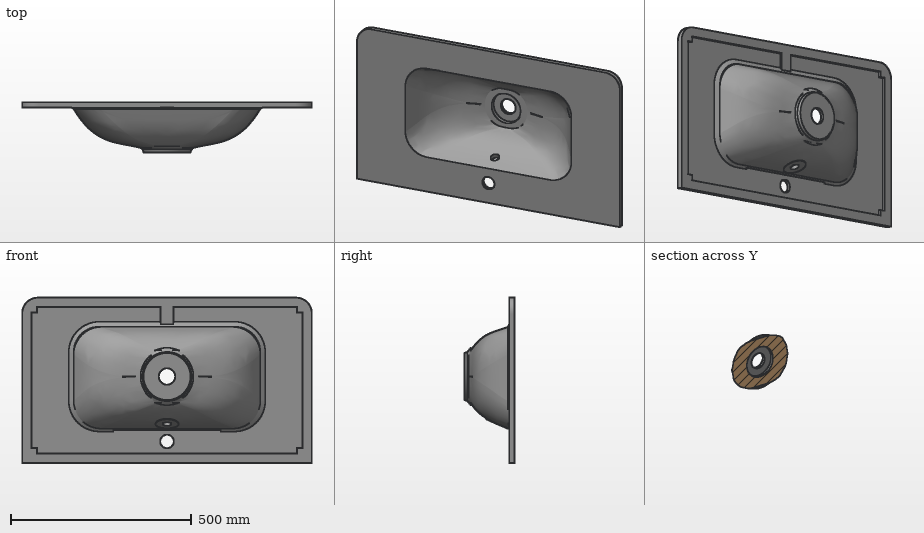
import math

import cadquery as cq


slab_length = 805.0
slab_height = 460.0
slab_thickness = 15.0
slab_corner_radius = 44.0

border_width = 26.0
corner_notch = 15.0
recess_depth = 5.0
recess_draft = 20.0
tab_width = 34.0
tab_end_z = 156.0

overall_depth = 140.0
boss_depth = overall_depth - slab_thickness
wall = 10.5
bowl_axis_z = 10.5
bowl_sections = [
    (-recess_depth, 265.0, 153.0, -136.0, 77.0),
    (4.0, 259.0, 148.0, -133.0, 76.5),
    (40.0, 233.5, 136.0, -118.0, 84.5),
    (72.5, 200.0, 120.0, -100.0, 88.5),
    (97.0, 147.0, 97.0, -77.0, 82.0),
    (112.0, 75.0, 79.0, -58.0, 64.0),
]

flare_half_width = 273.0
flare_top_z = 163.0
flare_bottom_z = -142.5
flare_corner_radius = 85.0
flare_height = 9.0
flare_inset = 14.0

boss_face_radius = 65.0
boss_neck_radius = 68.5
boss_root_radius = 80.0
boss_neck_height = 9.0
boss_height = 18.0
drain_radius = 22.5
drain_floor = 10.0
drain_seat_radius = 44.0

faucet_hole_radius = 18.5
faucet_hole_z = -170.0
flare_cut_length = 298.0
flare_cut_z = -138.5

overflow_z = -121.5
overflow_depth = 34.0
overflow_boss_radius = 32.0
overflow_hole_radius = 12.0
overflow_length = 24.0
overflow_direction = cq.Vector(0, -0.4, -0.92)


def plane_at(depth):
    """XZ sketch plane at a depth below the slab, with its normal toward -Y."""
    return cq.Workplane("XZ", origin=(0, -depth, 0))


def make_box(length, z_low, z_high, depth_from, depth_to):
    """Box centred on X between two heights and two depths."""
    box = plane_at(depth_from).center(0, (z_low + z_high) / 2)
    return box.rect(length, z_high - z_low).extrude(depth_to - depth_from)


def make_slab():
    slab = make_box(slab_length, -slab_height / 2, slab_height / 2, -slab_thickness, 0)
    return slab.edges("|Y and >Z").fillet(slab_corner_radius)


def make_recess():
    """Drafted panel pocket: a rectangle with square corner notches, split by a tab at the top."""
    half_x = slab_length / 2 - border_width
    half_z = slab_height / 2 - border_width
    inner_x = half_x - corner_notch
    inner_z = half_z - corner_notch
    half_tab = tab_width / 2
    right_side = [
        (half_tab, tab_end_z),
        (half_tab, half_z),
        (inner_x, half_z),
        (inner_x, inner_z),
        (half_x, inner_z),
        (half_x, -inner_z),
        (inner_x, -inner_z),
        (inner_x, -half_z),
    ]
    left_side = [(-x, z) for x, z in reversed(right_side)]
    outline = plane_at(0).polyline(right_side + left_side).close()
    return outline.extrude(-recess_depth, taper=recess_draft)


def loft_bowl(inset):
    """Smooth loft through the bowl sections, moved inward by the inset."""
    wires = []
    for depth, half_width, top_z, bottom_z, radius in bowl_sections:
        sketch = cq.Sketch().rect(2 * (half_width - inset), top_z - bottom_z - 2 * inset)
        sketch = sketch.vertices().fillet(radius - inset)
        section = plane_at(depth - inset).center(0, (top_z + bottom_z) / 2).placeSketch(sketch)
        wires.append(section.val()._faces.Faces()[0].outerWire().moved(section.plane.location))
    return cq.Workplane(obj=cq.Solid.makeLoft(wires))


def make_flare():
    """Sloped skirt around the bowl, cut straight on the faucet side."""
    taper = math.degrees(math.atan2(flare_inset, flare_height))
    sketch = cq.Sketch().rect(2 * flare_half_width, flare_top_z - flare_bottom_z)
    sketch = sketch.vertices().fillet(flare_corner_radius)
    base = plane_at(-recess_depth).center(0, (flare_top_z + flare_bottom_z) / 2)
    skirt = base.placeSketch(sketch).extrude(flare_height, taper=taper)
    top_depth = flare_height - recess_depth
    return skirt.cut(make_box(flare_cut_length, flare_bottom_z, flare_cut_z, -recess_depth, top_depth))


def make_drain_boss():
    """Short conical neck standing on a wider, flatter cone that blends into the bowl."""
    boss = plane_at(boss_depth - boss_height).center(0, bowl_axis_z).circle(boss_root_radius)
    boss = boss.workplane(offset=boss_height - boss_neck_height).circle(boss_neck_radius)
    return boss.workplane(offset=boss_neck_height).circle(boss_face_radius).loft(ruled=True)


def make_bore(radius, z, depth_from, depth_to):
    return plane_at(depth_from).center(0, z).circle(radius).extrude(depth_to - depth_from)


def make_overflow(radius, length_inward, length_outward):
    """Cylinder along the overflow axis, reaching inward and outward from the bowl wall."""
    axis = overflow_direction.normalized()
    start = cq.Vector(0, -overflow_depth, overflow_z) - axis * length_inward
    return cq.Workplane(obj=cq.Solid.makeCylinder(radius, length_inward + length_outward, start, axis))


slab = make_slab().cut(make_recess())
result = slab.union(make_flare()).union(loft_bowl(0))
result = result.union(make_drain_boss())
result = result.union(make_overflow(overflow_boss_radius, overflow_length, 0))

result = result.cut(loft_bowl(wall))
result = result.cut(make_bore(drain_seat_radius, bowl_axis_z, 0, boss_depth - drain_floor))
result = result.cut(make_bore(drain_radius, bowl_axis_z, 0, boss_depth))
result = result.cut(make_bore(faucet_hole_radius, faucet_hole_z, -slab_thickness, 0))
result = result.cut(make_overflow(overflow_hole_radius, overflow_length, overflow_length))